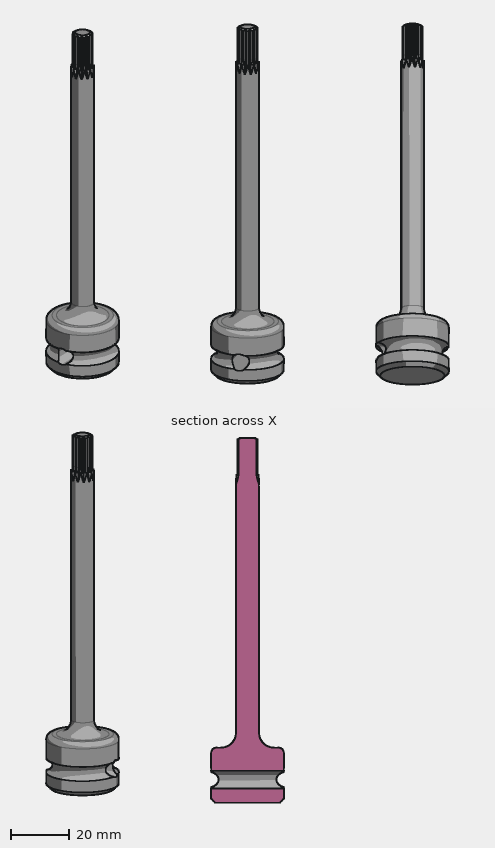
import cadquery as cq
import math

total_length = 125.0
head_radius = 12.5
head_height = 19.0

bottom_chamfer = 1.5
head_top_fillet = 2.0
ring_groove_half_width = 2.5
ring_groove_depth = 2.1
pin_height = 8.0
pin_hole_diameter = 6.0

shank_radius = 4.0
shank_root_fillet = 5.0

tooth_count = 12
groove_angle = 95.0
groove_floor_width = 0.2
tip_radius = 3.5
root_radius = 3.0
tip_length = 12.8
tip_flat_radius = 2.5
tip_chamfer_angle = 30.0
cutter_radius = 12.5
runout_end = 15.9
runout_sweep = 90.0
cut_margin = 1.2

shoulder_z = total_length - tip_length


def turned_body():
    """Head, shank and blank tip as one revolved outline, standing on Z = 0."""
    tip_chamfer_height = (tip_radius - tip_flat_radius) * math.tan(math.radians(tip_chamfer_angle))
    arc_corner = math.sqrt(0.5)
    top_fillet_r = head_radius - head_top_fillet
    top_fillet_z = head_height - head_top_fillet
    shank_fillet_r = shank_radius + shank_root_fillet
    shank_fillet_z = head_height + shank_root_fillet
    outline = (
        cq.Workplane("XZ")
        .lineTo(head_radius - bottom_chamfer, 0)
        .lineTo(head_radius, bottom_chamfer)
        .lineTo(head_radius, pin_height - ring_groove_half_width)
        .threePointArc(
            (head_radius - ring_groove_depth, pin_height),
            (head_radius, pin_height + ring_groove_half_width),
        )
        .lineTo(head_radius, top_fillet_z)
        .threePointArc(
            (top_fillet_r + head_top_fillet * arc_corner, top_fillet_z + head_top_fillet * arc_corner),
            (top_fillet_r, head_height),
        )
        .lineTo(shank_fillet_r, head_height)
        .threePointArc(
            (shank_fillet_r - shank_root_fillet * arc_corner, shank_fillet_z - shank_root_fillet * arc_corner),
            (shank_radius, shank_fillet_z),
        )
        .lineTo(shank_radius, shoulder_z)
        .lineTo(tip_radius, shoulder_z)
        .lineTo(tip_radius, total_length - tip_chamfer_height)
        .lineTo(tip_flat_radius, total_length)
        .lineTo(0, total_length)
        .close()
    )
    return outline.revolve(360, (0, 0, 0), (0, 1, 0))


def pin_hole():
    """Retaining pin hole through the head along Y, centred on the ring groove."""
    hole = cq.Workplane("XZ").center(0, pin_height).circle(pin_hole_diameter / 2)
    return hole.extrude(2 * head_radius, both=True)


def groove_section(z):
    """Groove outline on the +X side, in the plane at height z."""
    flank_angle = math.radians(groove_angle / 2)
    floor_half = groove_floor_width / 2
    outer_radius = shank_radius + cut_margin
    outer_half = floor_half + (outer_radius - root_radius) * math.tan(flank_angle)
    return (
        cq.Workplane("XY", origin=(0, 0, z))
        .moveTo(root_radius, -floor_half)
        .lineTo(root_radius, floor_half)
        .lineTo(outer_radius, outer_half)
        .lineTo(outer_radius, -outer_half)
        .close()
    )


def spline_groove():
    """One groove on the +X side: straight along the tip, then curving out of the shank."""
    rise = shank_radius - root_radius
    runout_length = math.sqrt(cutter_radius**2 - (cutter_radius - rise) ** 2)
    runout_start_z = total_length - runout_end + runout_length

    axis_x = root_radius + cutter_radius
    straight = groove_section(runout_start_z).extrude(runout_end + cut_margin)
    runout = groove_section(runout_start_z).revolve(runout_sweep, (axis_x, 0, 0), (axis_x, -1, 0))
    return straight.union(runout)


result = turned_body().cut(pin_hole())
groove = spline_groove()
for index in range(tooth_count):
    result = result.cut(groove.rotate((0, 0, 0), (0, 0, 1), index * 360 / tooth_count))